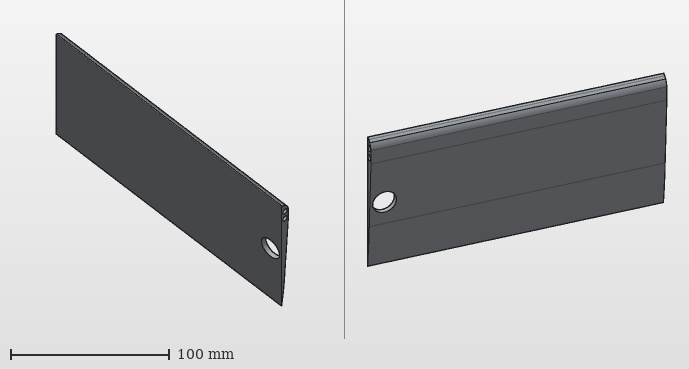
import cadquery as cq

length = 200.0
thickness = 6.0
height = 98.5

front_round = 0.5
nose_depth = 6.8

front_arc_mid = (1.5, 0.32)
flat_front = (2.2, 0.8)
flat_back = (4.0, 2.2)
back_arc_mid = (5.2, 4.2)

taper_start_depth = 17.0
tip_curve_height = 32.0
tip_curve_thickness = 3.0
tip_mid_height = 12.0
tip_mid_thickness = 1.5

bore_diameter = 4.0
bore_depths = (7.2, 14.2)

hang_hole_diameter = 16.0
hang_hole_inset = 10.0
hang_hole_height = 49.0


def below_top(point):
    """Turn a (Y, depth below the top) pair into (Y, Z)."""
    y, depth = point
    return (y, height - depth)


def make_blade():
    """Extrude the wedge-shaped section along X."""
    round_mid = front_round * (1 - 0.5**0.5)
    return (
        cq.Workplane("YZ")
        .moveTo(0, 0)
        .lineTo(0, height - front_round)
        .threePointArc((round_mid, height - round_mid), (front_round, height))
        .threePointArc(below_top(front_arc_mid), below_top(flat_front))
        .lineTo(*below_top(flat_back))
        .threePointArc(below_top(back_arc_mid), below_top((thickness, nose_depth)))
        .lineTo(thickness, height - taper_start_depth)
        .lineTo(tip_curve_thickness, tip_curve_height)
        .threePointArc((tip_mid_thickness, tip_mid_height), (0, 0))
        .close()
        .extrude(length)
    )


def make_bores():
    """Parallel bores through the full length, centred in the thickness."""
    centres = [(thickness / 2, height - depth) for depth in bore_depths]
    return cq.Workplane("YZ").pushPoints(centres).circle(bore_diameter / 2).extrude(length)


def make_hang_hole():
    """Hole through the thickness near the +X end."""
    return (
        cq.Workplane("XZ")
        .center(length - hang_hole_inset, hang_hole_height)
        .circle(hang_hole_diameter / 2)
        .extrude(-thickness)
    )


result = make_blade().cut(make_bores()).cut(make_hang_hole())